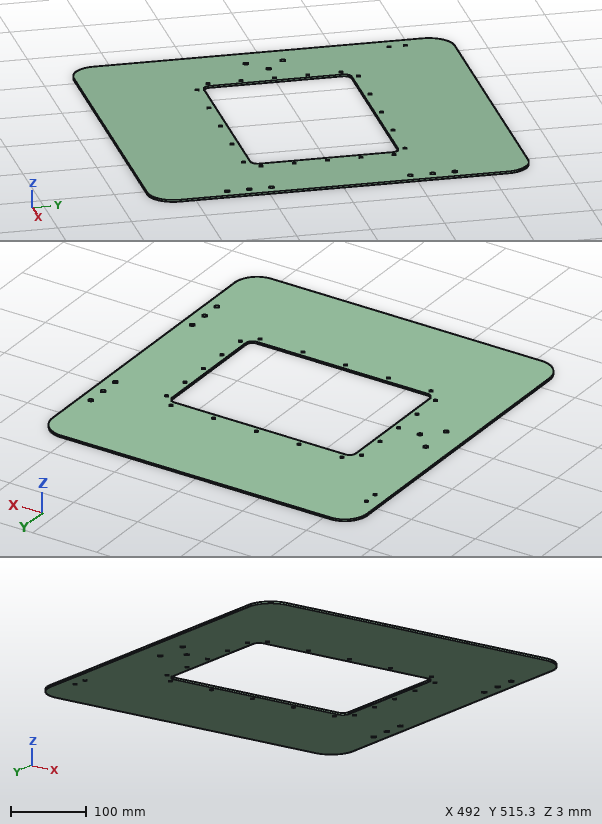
import cadquery as cq

plate_width = 492.0
plate_depth = 515.3
plate_thickness = 3.0
plate_corner_radius = 35.0

window_width = 287.0
window_depth = 200.0
window_corner_radius = 10.0

small_hole_diameter = 4.6
frame_margin = 9.0
frame_row_y = window_depth / 2 + frame_margin
frame_column_x = window_width / 2 + frame_margin
frame_row_pitch = 66.75
frame_column_pitch = 45.0
holes_per_side = 5

large_hole_diameter = 6.6
edge_group_x = 230.0
edge_group_y = 124.0
edge_group_pitch = 30.0
holes_per_edge_group = 3

triangle_base_x = -211.0
triangle_height = 25.0
triangle_half_base = 25.0

corner_pair_x = -226.3
corner_pair_upper_y = 194.3
corner_pair_spacing = 21.8


def centred_steps(count, pitch):
    """Evenly spaced positions, symmetric about zero."""
    return [(i - (count - 1) / 2) * pitch for i in range(count)]


def rounded_plate(width, depth, radius):
    """Plate-thick rectangle standing on Z = 0, with rounded vertical edges."""
    block = cq.Workplane("XY").box(width, depth, plate_thickness, centered=(True, True, False))
    return block.edges("|Z").fillet(radius)


def drill(body, points, diameter):
    """Cut a plain through hole at every point."""
    pins = cq.Workplane("XY").pushPoints(points).circle(diameter / 2).extrude(plate_thickness)
    return body.cut(pins)


def drill_frame_holes(body):
    """Screw holes along all four sides of the window."""
    row_steps = centred_steps(holes_per_side, frame_row_pitch)
    column_steps = centred_steps(holes_per_side, frame_column_pitch)
    for side in (-1, 1):
        row = [(x, side * frame_row_y) for x in row_steps]
        column = [(side * frame_column_x, y) for y in column_steps]
        body = drill(body, row + column, small_hole_diameter)
    return body


def drill_edge_groups(body):
    """Two mirrored groups of holes along the +X edge."""
    steps = centred_steps(holes_per_edge_group, edge_group_pitch)
    for side in (-1, 1):
        group = [(edge_group_x, side * edge_group_y + step) for step in steps]
        body = drill(body, group, large_hole_diameter)
    return body


def drill_triangle(body):
    """Three holes in a triangle pointing towards the window."""
    points = [
        (triangle_base_x, triangle_half_base),
        (triangle_base_x, -triangle_half_base),
        (triangle_base_x + triangle_height, 0),
    ]
    return drill(body, points, large_hole_diameter)


def drill_corner_pair(body):
    """Two holes in line along Y."""
    points = [
        (corner_pair_x, corner_pair_upper_y),
        (corner_pair_x, corner_pair_upper_y - corner_pair_spacing),
    ]
    return drill(body, points, small_hole_diameter)


plate = rounded_plate(plate_width, plate_depth, plate_corner_radius)
plate = plate.cut(rounded_plate(window_width, window_depth, window_corner_radius))
plate = drill_frame_holes(plate)
plate = drill_edge_groups(plate)
plate = drill_triangle(plate)
result = drill_corner_pair(plate)